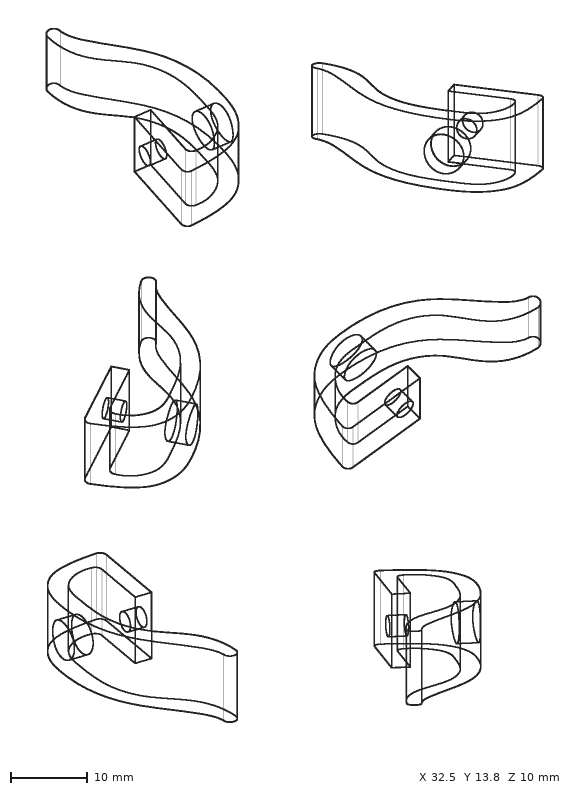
import cadquery as cq

height = 10.0
plate_length = 12.6
plate_thickness = 2.5
total_length = 32.48
total_depth = 13.79
crest_y = 12.05

right_wall = 3.0
crest_wall = 2.92
crest_x = 2.7

tip_radius = 1.0
outer_corner_radius = 1.0
inner_corner_radius = 1.0

hole_x = 2.6
hole_z = height / 2
screw_hole_diameter = 2.8
driver_hole_diameter = 5.5
cut_clearance = 1.0

inner_wall_x = plate_length - right_wall
tip_x = plate_length - total_length
tip_center_x = tip_x + tip_radius
tip_center_y = crest_y - total_depth + tip_radius
inner_crest_y = crest_y - crest_wall

outer_start = (plate_length, outer_corner_radius)
outer_end = (tip_center_x, tip_center_y + tip_radius)
inner_start = (tip_center_x, tip_center_y - tip_radius)
inner_end = (inner_wall_x, plate_thickness + inner_corner_radius)

outer_curve = [
    (11.97, 5.65),
    (10.4, 9.2),
    (7.35, 11.4),
    (crest_x, crest_y),
    (-4.42, 10.86),
    (-8.33, 8.88),
    (-12.25, 5.5),
    (-15.6, 2.2),
    (-17.3, 0.9),
    outer_end,
]

inner_curve = [
    (-16.4, -1.3),
    (-13.8, -0.1),
    (-11.47, 2.0),
    (-8.33, 5.7),
    (-5.98, 7.4),
    (-3.6, 8.4),
    (crest_x, inner_crest_y),
    (7.3, 8.35),
    (8.75, 6.85),
    inner_end,
]


def hook_profile():
    """Closed outline of the hook, run counter-clockwise from the plate's free corner."""
    return (
        cq.Workplane("XY")
        .lineTo(plate_length - outer_corner_radius, 0)
        .radiusArc(outer_start, -outer_corner_radius)
        .spline(outer_curve, includeCurrent=True)
        .radiusArc((tip_x, tip_center_y), -tip_radius)
        .radiusArc(inner_start, -tip_radius)
        .spline(inner_curve, includeCurrent=True)
        .radiusArc((inner_wall_x - inner_corner_radius, plate_thickness), inner_corner_radius)
        .lineTo(0, plate_thickness)
        .close()
    )


def bore(diameter, start_y, end_y):
    """Cylinder along Y on the common hole axis."""
    return cq.Workplane(
        cq.Solid.makeCylinder(
            diameter / 2,
            end_y - start_y,
            cq.Vector(hole_x, start_y, hole_z),
            cq.Vector(0, 1, 0),
        )
    )


hook = hook_profile().extrude(height)
screw_hole = bore(screw_hole_diameter, 0, plate_thickness)
driver_hole = bore(driver_hole_diameter, plate_thickness, crest_y + cut_clearance)

result = hook.cut(screw_hole).cut(driver_hole)